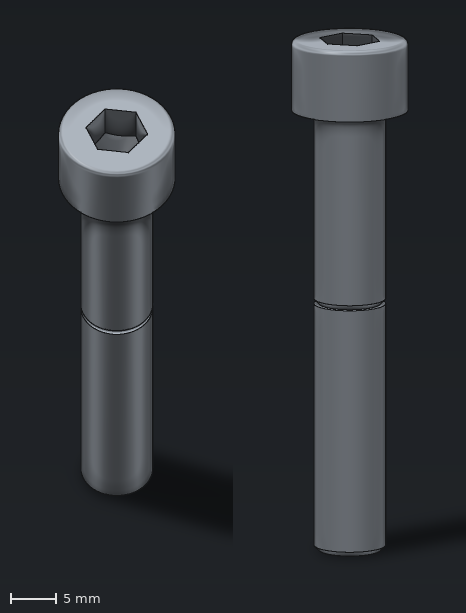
import cadquery as cq
import math

total_length = 58.0
head_diameter = 13.0
head_height = 8.0
head_edge_radius = 0.6

shank_diameter = 8.0
thread_length = 28.0
end_chamfer = 0.6
groove_depth = 0.6

socket_across_flats = 6.0
socket_depth = 4.0
floor_cone_angle = 120.0

head_radius = head_diameter / 2
shank_radius = shank_diameter / 2
head_bottom = total_length - head_height
socket_corner_radius = socket_across_flats / math.sqrt(3)
floor_cone_height = socket_corner_radius / math.tan(math.radians(floor_cone_angle / 2))


def make_head():
    head = cq.Workplane("XY").workplane(offset=head_bottom).circle(head_radius).extrude(head_height)
    return head.faces(">Z").edges().fillet(head_edge_radius)


def make_shank():
    """Threaded end with a chamfered tip, then a groove flat below and 45 degrees above."""
    profile = (
        cq.Workplane("XZ")
        .moveTo(0, 0)
        .lineTo(shank_radius - end_chamfer, 0)
        .lineTo(shank_radius, end_chamfer)
        .lineTo(shank_radius, thread_length)
        .lineTo(shank_radius - groove_depth, thread_length)
        .lineTo(shank_radius, thread_length + groove_depth)
        .lineTo(shank_radius, head_bottom)
        .lineTo(0, head_bottom)
        .close()
    )
    return profile.revolve(360, (0, 0, 0), (0, 1, 0))


def make_socket():
    """Hexagonal prism trimmed to the conical point of a drill as wide as its corners."""
    socket_bottom = total_length - socket_depth
    cone_tip = socket_bottom - floor_cone_height
    prism = (
        cq.Workplane("XY")
        .workplane(offset=cone_tip)
        .polygon(6, 2 * socket_corner_radius)
        .extrude(total_length - cone_tip)
    )
    drill = (
        cq.Workplane("XZ")
        .moveTo(0, cone_tip)
        .lineTo(socket_corner_radius, socket_bottom)
        .lineTo(socket_corner_radius, total_length)
        .lineTo(0, total_length)
        .close()
        .revolve(360, (0, 0, 0), (0, 1, 0))
    )
    return prism.intersect(drill)


result = make_head().union(make_shank()).cut(make_socket())